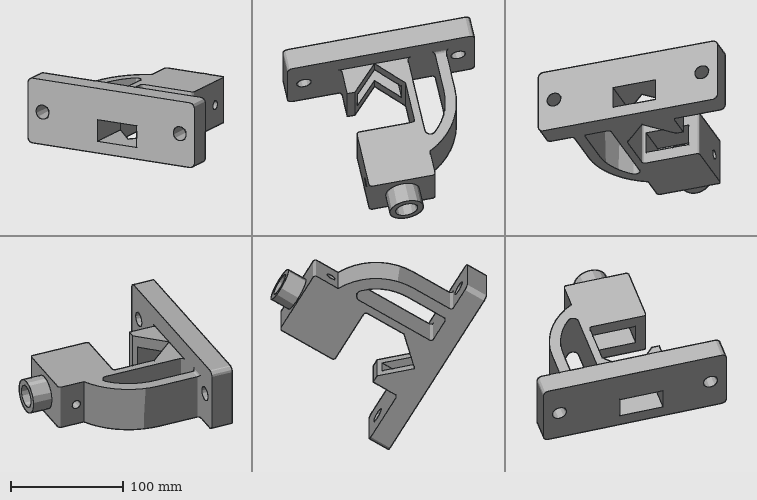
import cadquery as cq
import math

plate_length = 170.0
plate_thickness = 20.0
plate_height = 60.0
plate_corner_radius = 5.0
bolt_hole_diameter = 13.0
bolt_hole_spacing = 140.0

body_height = 42.0
body_width = 60.0
body_center_x = 91.0
body_end_y = 142.0
block_start_y = 85.3
web_thickness = 7.0
jaw_height = 25.0
edge_radius = 2.5
body_left_x = body_center_x - body_width / 2
body_right_x = body_center_x + body_width / 2
web_inner_x = body_left_x + web_thickness
jaw_top_y = plate_thickness + jaw_height
bore_z = body_height / 2

brace_outer_radius = 64.8
brace_thickness = 10.0
brace_arc_y = 60.0
brace_inner_radius = brace_outer_radius - brace_thickness
brace_crotch_radius = 5.0

boss_diameter = 30.6
boss_end_y = 160.0
bore_diameter = 20.0
window_width = 40.1
window_height = 20.0
pocket_depth = 30.0
pin_diameter = 8.0
pin_y = 124.8
pin_z = 20.0


def make_plate():
    plate = cq.Workplane("XY").box(plate_length, plate_thickness, plate_height, centered=False)
    plate = plate.edges("|Y").fillet(plate_corner_radius)
    for side in (-1, 1):
        x = plate_length / 2 + side * bolt_hole_spacing / 2
        plate = plate.cut(y_cylinder(bolt_hole_diameter, x, plate_height / 2, 0, plate_thickness))
    return plate


def y_cylinder(diameter, x, z, start_y, end_y):
    axis_start = cq.Vector(x, start_y, z)
    axis = cq.Vector(0, 1, 0)
    return cq.Workplane(cq.Solid.makeCylinder(diameter / 2, end_y - start_y, axis_start, axis))


def make_frame():
    jaw_tip_x = body_right_x - web_thickness
    outline = [
        (body_left_x, plate_thickness),
        (body_left_x, body_end_y),
        (body_right_x, body_end_y),
        (body_right_x, block_start_y),
        (web_inner_x, block_start_y),
        (web_inner_x, jaw_top_y),
        (body_center_x, plate_thickness),
        (jaw_tip_x, jaw_top_y),
        (body_right_x, jaw_top_y),
        (body_right_x, plate_thickness),
    ]
    foot = [(body_right_x, 0), (body_left_x, 0)]
    frame = cq.Workplane("XY").polyline(outline + foot).close().extrude(body_height)
    rounded_corners = [
        (body_left_x, body_end_y),
        (body_right_x, body_end_y),
        (body_right_x, block_start_y),
        (web_inner_x, block_start_y),
    ]
    for x, y in rounded_corners:
        frame = frame.edges(cq.selectors.NearestToPointSelector((x, y, bore_z))).fillet(edge_radius)
    return frame


def arc_height(radius):
    """Y at which an arc of the brace meets the outer face of the web."""
    return brace_arc_y + math.sqrt(radius**2 - (body_width / 2) ** 2)


def point_on_arc(radius, angle):
    """Point on a brace arc, with the angle measured from the plate-side straight leg."""
    return (body_center_x - radius * math.cos(angle), brace_arc_y + radius * math.sin(angle))


def region_beside_web(radius):
    """Area between the web and a straight leg that curves in to meet it."""
    half_angle = math.acos(body_width / 2 / radius) / 2
    return (
        cq.Workplane("XY")
        .moveTo(body_left_x, plate_thickness)
        .lineTo(body_center_x - radius, plate_thickness)
        .lineTo(body_center_x - radius, brace_arc_y)
        .threePointArc(point_on_arc(radius, half_angle), (body_left_x, arc_height(radius)))
        .close()
        .extrude(body_height)
    )


def make_brace():
    opening = region_beside_web(brace_inner_radius)
    crotch = (body_left_x, arc_height(brace_inner_radius), bore_z)
    opening = opening.edges(cq.selectors.NearestToPointSelector(crotch)).fillet(brace_crotch_radius)
    return region_beside_web(brace_outer_radius).cut(opening)


def round_feet(body):
    """Blend the brace and the outer sides of the frame into the plate."""
    brace_left_x = body_center_x - brace_outer_radius
    brace_right_x = body_center_x - brace_inner_radius
    brace_middle_x = (brace_left_x + brace_right_x) / 2
    feet = [
        (brace_left_x, plate_thickness, bore_z),
        (brace_right_x, plate_thickness, bore_z),
        (brace_middle_x, plate_thickness, body_height),
        (body_left_x, plate_thickness, bore_z),
        (body_right_x, plate_thickness, bore_z),
    ]
    edges = []
    for point in feet:
        edges += body.edges(cq.selectors.NearestToPointSelector(point)).vals()
    return body.newObject(edges).fillet(edge_radius)


def make_window():
    """Opening through the plate and V jaw that ends as a pocket in the block."""
    window_depth = block_start_y + pocket_depth
    return (
        cq.Workplane("XY")
        .box(window_width, window_depth, window_height, centered=(True, False, True))
        .translate((body_center_x, 0, bore_z))
    )


def make_pin_hole():
    return (
        cq.Workplane("YZ", origin=(body_left_x, pin_y, pin_z))
        .circle(pin_diameter / 2)
        .extrude(body_width)
    )


body = make_frame().union(make_brace())
body = round_feet(make_plate().union(body))
boss = y_cylinder(boss_diameter, body_center_x, bore_z, body_end_y, boss_end_y)
bore = y_cylinder(bore_diameter, body_center_x, bore_z, block_start_y, boss_end_y)
result = body.union(boss).cut(make_window()).cut(bore).cut(make_pin_hole())